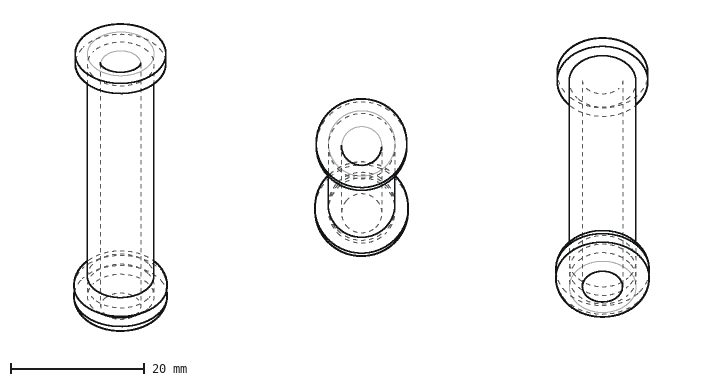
import cadquery as cq

length = 50.0
tube_radius = 5.0
bore_radius = 3.0
head_radius = 6.8
step = 2.0
bead_radius = tube_radius + step
arc_offset = step * 0.5**0.5

lower_bead_top = step
upper_bead_bottom = lower_bead_top + step
head_bottom = length - step


def make_tube():
    return cq.Workplane("XY").circle(tube_radius).extrude(length)


def make_head():
    return cq.Workplane("XY").workplane(offset=head_bottom).circle(head_radius).extrude(step)


def make_bead(flat_height, round_direction):
    """Quarter-round bead, flat at one height and rounded up (+1) or down (-1)."""
    profile = (
        cq.Workplane("XZ")
        .moveTo(0, flat_height)
        .lineTo(bead_radius, flat_height)
        .threePointArc(
            (tube_radius + arc_offset, flat_height + round_direction * arc_offset),
            (tube_radius, flat_height + round_direction * step),
        )
        .lineTo(0, flat_height + round_direction * step)
        .close()
    )
    return profile.revolve(360, (0, 0, 0), (0, 1, 0))


def make_flared_bore():
    """Through bore whose upper mouth flares out to the tube radius."""
    profile = (
        cq.Workplane("XZ")
        .lineTo(bore_radius, 0)
        .lineTo(bore_radius, head_bottom)
        .threePointArc(
            (tube_radius - arc_offset, head_bottom + arc_offset),
            (tube_radius, length),
        )
        .lineTo(0, length)
        .close()
    )
    return profile.revolve(360, (0, 0, 0), (0, 1, 0))


lower_bead = make_bead(lower_bead_top, -1)
upper_bead = make_bead(upper_bead_bottom, 1)
body = make_tube().union(make_head()).union(lower_bead).union(upper_bead)
result = body.cut(make_flared_bore())